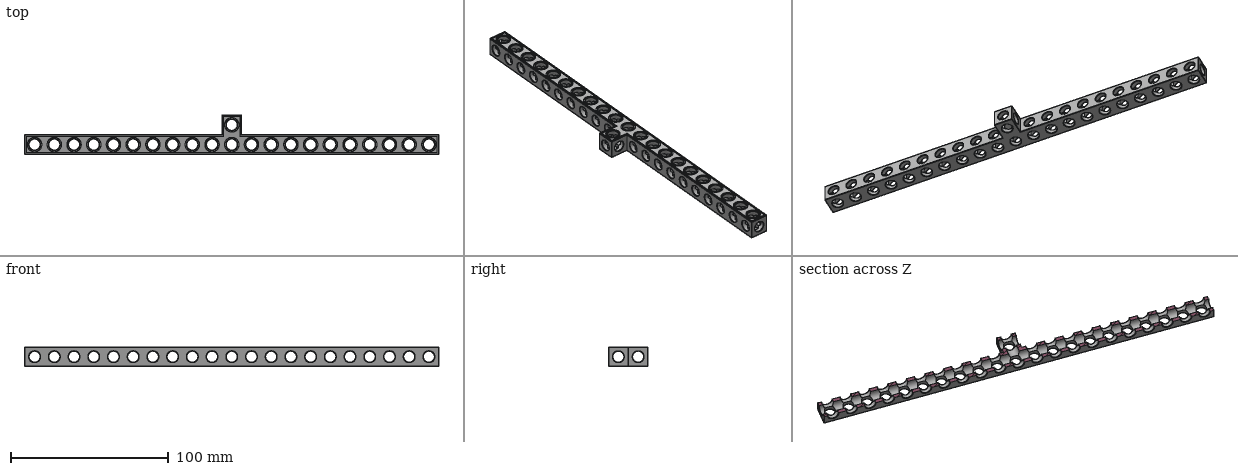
import cadquery as cq

PITCH = 12.5
BEAM_CELLS = 21
BORE_DIAMETER = 7.0
LONG_BORE_DIAMETER = 6.98
MOUTH_CHAMFER = 0.3
EDGE_CHAMFER = 0.3
RIM_WIDTH = 1.1
RECESS_DEPTH = 0.2

HALF_PITCH = PITCH / 2
BEAM_LENGTH = BEAM_CELLS * PITCH
COLLAR_DIAMETER = BORE_DIAMETER + 2 * RIM_WIDTH
STUB_Y = PITCH
TEE_WIDTH = 2 * PITCH
MIDDLE_CELL = BEAM_CELLS // 2

CELL_XS = [(i - MIDDLE_CELL) * PITCH for i in range(BEAM_CELLS)]
CELL_CENTRES = [(x, 0) for x in CELL_XS] + [(0, STUB_Y)]


def bevelled_body():
    """Tee of two bevelled bars: the beam along X and a two-cell bar that forms the stub."""
    beam = cq.Workplane("XY").box(BEAM_LENGTH, PITCH, PITCH).edges().chamfer(EDGE_CHAMFER)
    stub_bar = cq.Workplane("XY").box(PITCH, TEE_WIDTH, PITCH).edges().chamfer(EDGE_CHAMFER)
    return beam.union(stub_bar.translate((0, STUB_Y / 2, 0)))


def top_recess():
    """Shallow pocket in the top face, leaving a border and a collar around each bore."""
    floor_z = HALF_PITCH - RECESS_DEPTH
    floor = cq.Workplane("XY", origin=(0, 0, floor_z))
    pocket_width = PITCH - 2 * RIM_WIDTH
    beam_pocket_length = BEAM_LENGTH - 2 * RIM_WIDTH
    stub_pocket_length = TEE_WIDTH - 2 * RIM_WIDTH
    beam_pocket = floor.rect(beam_pocket_length, pocket_width).extrude(RECESS_DEPTH)
    stub_pocket = floor.center(0, STUB_Y / 2).rect(pocket_width, stub_pocket_length).extrude(RECESS_DEPTH)
    collars = floor.pushPoints(CELL_CENTRES).circle(COLLAR_DIAMETER / 2).extrude(RECESS_DEPTH)
    return beam_pocket.union(stub_pocket).cut(collars)


def bore(diameter, length):
    """Cutter along Z, starting at the origin, widened to a countersink at both ends."""
    radius = diameter / 2
    mouth_radius = radius + MOUTH_CHAMFER
    half_section = [
        (0, 0),
        (mouth_radius, 0),
        (radius, MOUTH_CHAMFER),
        (radius, length - MOUTH_CHAMFER),
        (mouth_radius, length),
        (0, length),
    ]
    return cq.Workplane("XZ").polyline(half_section).close().revolve(360, (0, 0), (0, 1))


def bore_x(y, length):
    """Bore along X, centred on the middle cell."""
    along_x = bore(LONG_BORE_DIAMETER, length).rotate((0, 0, 0), (0, 1, 0), 90)
    return along_x.translate((-length / 2, y, 0))


def bore_y(x, length):
    """Bore along Y, starting at the -Y face of the beam."""
    along_y = bore(BORE_DIAMETER, length).rotate((0, 0, 0), (1, 0, 0), -90)
    return along_y.translate((x, -HALF_PITCH, 0))


def bore_z(x, y):
    """Bore along Z through the full height."""
    return bore(BORE_DIAMETER, PITCH).translate((x, y, -HALF_PITCH))


result = bevelled_body().cut(top_recess())

for cell_x, cell_y in CELL_CENTRES:
    result = result.cut(bore_z(cell_x, cell_y))

for cell_x in CELL_XS:
    depth = TEE_WIDTH if cell_x == 0 else PITCH
    result = result.cut(bore_y(cell_x, depth))

result = result.cut(bore_x(0, BEAM_LENGTH)).cut(bore_x(STUB_Y, PITCH))